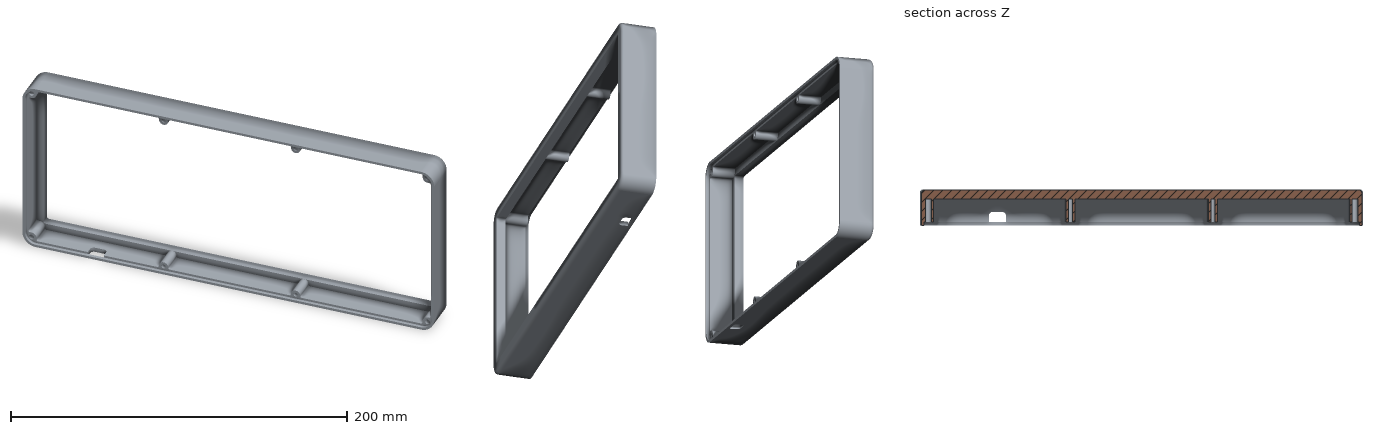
import cadquery as cq
import math

length = 263.6
depth = 21.5
height = 111.3
corner_radius = 8.5
rear_fillet = 2.0

lip_width = 1.5
wall = 3.0
flange_reach = 7.0
lip_depth = 2.0
flange_thickness = 5.8
flange_front = depth - flange_thickness

boss_flare = 1.0
corner_hole_diameter = 3.2
corner_hole_inset = 5.0
corner_boss_radius = 3.2
side_hole_diameter = 2.6
side_hole_inset = 4.2
side_boss_radius = flange_reach - side_hole_inset

corner_x = length / 2 - corner_hole_inset
corner_z = height / 2 - corner_hole_inset
side_x = corner_x / 3
side_z = height / 2 - side_hole_inset

slot_x = -85.7
slot_length = 10.3
slot_rear = 8.2
slot_width = slot_rear - lip_depth
slot_corner_radius = 2.5

signs = (-1, 1)
arc_middle = math.sin(math.pi / 4)


def prism(outline, start, end):
    """Solid between two Y positions, with its outline drawn on the XZ plane."""
    plane = cq.Workplane("XZ", origin=(0, start, 0))
    return outline(plane).extrude(start - end)


def rounded_block(inset, start, end):
    """Block inset from the outer faces, with its Y edges rounded concentrically."""
    block = prism(lambda plane: plane.rect(length - 2 * inset, height - 2 * inset), start, end)
    return block.edges("|Y").fillet(corner_radius - inset)


def frame():
    """Ring rounded at the rear, with a front lip, a shelf behind it and a rear flange."""
    body = rounded_block(0, 0, depth).faces(">Y").edges().fillet(rear_fillet)
    body = body.cut(rounded_block(lip_width, 0, lip_depth))
    body = body.cut(rounded_block(wall, lip_depth, flange_front))
    return body.cut(rounded_block(flange_reach, flange_front, depth))


def corner_boss(sign_x, sign_z):
    """Square boss filling a corner, rounded around its screw hole and flared at both walls."""
    reach = corner_hole_inset + corner_boss_radius
    flare_reach = reach + boss_flare
    flare_top = wall + boss_flare
    flare_offset = boss_flare * (1 - arc_middle)
    round_middle = corner_hole_inset + corner_boss_radius * arc_middle

    def inward(inset_x, inset_z):
        """Point at the given distances from the corner's two outer faces."""
        return sign_x * (length / 2 - inset_x), sign_z * (height / 2 - inset_z)

    def outline(plane):
        return (
            plane.moveTo(*inward(wall, wall))
            .lineTo(*inward(flare_reach, wall))
            .threePointArc(inward(reach + flare_offset, wall + flare_offset), inward(reach, flare_top))
            .lineTo(*inward(reach, corner_hole_inset))
            .threePointArc(inward(round_middle, round_middle), inward(corner_hole_inset, reach))
            .lineTo(*inward(flare_top, reach))
            .threePointArc(inward(wall + flare_offset, reach + flare_offset), inward(wall, flare_reach))
            .close()
        )

    return prism(outline, lip_depth, depth).intersect(rounded_block(wall, 0, depth))


def side_boss(center_x, sign_z):
    """Half-round boss on a long wall, flared where it meets the wall."""
    half_flare = side_boss_radius + boss_flare
    flare_offset = boss_flare * (1 - arc_middle)
    flare_top = wall + boss_flare

    def inward(offset_x, inset_z):
        """Point beside the boss center, at a distance from the wall's outer face."""
        return center_x + offset_x, sign_z * (height / 2 - inset_z)

    flare_middle_x = side_boss_radius + flare_offset
    flare_middle_z = wall + flare_offset

    def outline(plane):
        return (
            plane.moveTo(*inward(-half_flare, wall))
            .threePointArc(inward(-flare_middle_x, flare_middle_z), inward(-side_boss_radius, flare_top))
            .lineTo(*inward(-side_boss_radius, side_hole_inset))
            .threePointArc(inward(0, flange_reach), inward(side_boss_radius, side_hole_inset))
            .lineTo(*inward(side_boss_radius, flare_top))
            .threePointArc(inward(flare_middle_x, flare_middle_z), inward(half_flare, wall))
            .close()
        )

    return prism(outline, lip_depth, flange_front)


def screw_holes(x, z, diameter):
    """Four mirrored blind holes from the shelf back to the flange."""
    points = [(sign_x * x, sign_z * z) for sign_x in signs for sign_z in signs]
    return prism(lambda plane: plane.pushPoints(points).circle(diameter / 2), lip_depth, flange_front)


def cable_slot():
    """Slot through the bottom wall, rounded at its two rear corners."""
    slot = cq.Workplane("XY", origin=(slot_x, lip_depth + slot_width / 2, -height / 2))
    slot = slot.box(slot_length, slot_width, wall, centered=(True, True, False))
    return slot.edges("|Z and >Y").fillet(slot_corner_radius)


result = frame()
for sign_x in signs:
    for sign_z in signs:
        result = result.union(corner_boss(sign_x, sign_z))
        result = result.union(side_boss(sign_x * side_x, sign_z))

result = result.cut(screw_holes(corner_x, corner_z, corner_hole_diameter))
result = result.cut(screw_holes(side_x, side_z, side_hole_diameter))
result = result.cut(cable_slot())